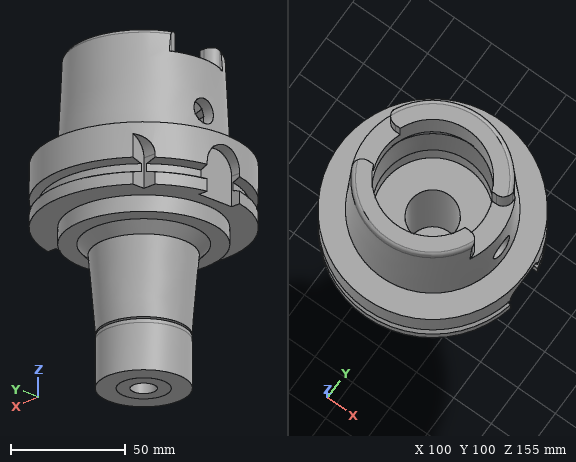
import cadquery as cq

TOTAL_LENGTH = 155.0
SHANK_HEIGHT = 50.0
BOTTOM_Z = SHANK_HEIGHT - TOTAL_LENGTH

SHANK_BASE_R = 76.1 / 2
SHANK_TAPER = 0.05
SHANK_TOP_R = SHANK_BASE_R - SHANK_TAPER * SHANK_HEIGHT
RIM_FILLET = 2.0
MOUTH_R = 53.0 / 2
MOUTH_DEPTH = 19.8
CAVITY_R = 63.0 / 2
CAVITY_DEPTH = 40.5
CAVITY_CONE_HEIGHT = 8.7
FLOOR_DEPTH = 61.7
CROSS_HOLE_R = 12.0 / 2
CROSS_HOLE_Z = 14.9

DRIVE_SLOT_WIDTH = 20.0
SHALLOW_SLOT_DEPTH = 10.0
DEEP_SLOT_DEPTH = 15.0
SLOT_CORNER_R = 5.0
SLOT_SHOULDER_X = 32.1

FLANGE_R = 100.0 / 2
FLANGE_THICKNESS = 29.3
GROOVE_R = 92.2 / 2
GROOVE_CENTER_Z = -20.0
GROOVE_FLOOR_WIDTH = 3.7
GROOVE_MOUTH_WIDTH = 6.8

KEYWAY_WIDTH = DRIVE_SLOT_WIDTH
KEYWAY_TOP_Z = -5.0
KEYWAY_FLOOR_X = 44.0
NOTCH_FACE = 31.8

COLLAR_R = 75.0 / 2
COLLAR_LENGTH = 7.8
SHOULDER_TOP_R = 58.3 / 2
SHOULDER_HEIGHT = 5.1
NOSE_TOP_R = 48.5 / 2
NOSE_END_R = 42.2 / 2
NOSE_END_Z = -79.8

NUT_GAP = 1.0
NUT_R = 42.5 / 2
NUT_BAND_R = 42.2 / 2
NUT_BAND_HEIGHT = 1.9
NUT_TOP_Z = NOSE_END_Z - NUT_GAP
NECK_R = 33.5 / 2
NECK_ENGAGEMENT = 12.4
NECK_END_Z = NUT_TOP_Z - NECK_ENGAGEMENT
COLLET_R = 24.0 / 2
COLLET_BORE_R = 12.0 / 2
COLLET_LENGTH = 34.1


def revolve_profile(points):
    """Solid of revolution about Z from (radius, z) points."""
    return cq.Workplane("XZ").polyline(points).close().revolve(360, (0, 0, 0), (0, 1, 0))


def cylinder(radius, bottom_z, top_z):
    """Upright cylinder on the Z axis."""
    return cq.Workplane("XY").workplane(offset=bottom_z).circle(radius).extrude(top_z - bottom_z)


def make_shank():
    """Solid taper with a rounded top rim."""
    shank = revolve_profile([(0, 0), (SHANK_BASE_R, 0), (SHANK_TOP_R, SHANK_HEIGHT), (0, SHANK_HEIGHT)])
    return shank.faces(">Z").edges().fillet(RIM_FILLET)


def make_flange_and_nose():
    """Grooved flange, collar, shoulder, tapered nose and the neck that enters the nut."""
    flange_bottom = -FLANGE_THICKNESS
    collar_bottom = flange_bottom - COLLAR_LENGTH
    nose_top = collar_bottom - SHOULDER_HEIGHT
    return revolve_profile([
        (0, 0),
        (FLANGE_R, 0),
        (FLANGE_R, GROOVE_CENTER_Z + GROOVE_MOUTH_WIDTH / 2),
        (GROOVE_R, GROOVE_CENTER_Z + GROOVE_FLOOR_WIDTH / 2),
        (GROOVE_R, GROOVE_CENTER_Z - GROOVE_FLOOR_WIDTH / 2),
        (FLANGE_R, GROOVE_CENTER_Z - GROOVE_MOUTH_WIDTH / 2),
        (FLANGE_R, flange_bottom),
        (COLLAR_R, flange_bottom),
        (COLLAR_R, collar_bottom),
        (SHOULDER_TOP_R, collar_bottom),
        (NOSE_TOP_R, nose_top),
        (NOSE_END_R, NOSE_END_Z),
        (NECK_R, NOSE_END_Z),
        (NECK_R, NECK_END_Z),
        (0, NECK_END_Z),
    ])


def make_shank_bore():
    """Cutter for the stepped bore: mouth, wider clamping cavity, cone, lower bore and collet hole."""
    mouth_bottom = SHANK_HEIGHT - MOUTH_DEPTH
    cavity_bottom = SHANK_HEIGHT - CAVITY_DEPTH
    floor_z = SHANK_HEIGHT - FLOOR_DEPTH
    return revolve_profile([
        (0, SHANK_HEIGHT),
        (MOUTH_R, SHANK_HEIGHT),
        (MOUTH_R, mouth_bottom),
        (CAVITY_R, mouth_bottom),
        (CAVITY_R, cavity_bottom),
        (MOUTH_R, cavity_bottom - CAVITY_CONE_HEIGHT),
        (MOUTH_R, floor_z),
        (COLLET_R, floor_z),
        (COLLET_R, NECK_END_Z),
        (0, NECK_END_Z),
    ])


def make_drive_slot(side, depth):
    """Cutter for one rim slot: parallel walls that turn through convex quarter arcs into a flat."""
    half = DRIVE_SLOT_WIDTH / 2
    slot = (
        cq.Workplane("XY").workplane(offset=SHANK_HEIGHT - depth)
        .moveTo(0, half)
        .lineTo(side * (SLOT_SHOULDER_X - SLOT_CORNER_R), half)
        .radiusArc((side * SLOT_SHOULDER_X, half + SLOT_CORNER_R), -side * SLOT_CORNER_R)
        .lineTo(side * SLOT_SHOULDER_X, FLANGE_R)
        .lineTo(side * FLANGE_R, FLANGE_R)
        .lineTo(side * FLANGE_R, 0)
        .lineTo(0, 0)
        .close()
        .extrude(depth)
    )
    return slot.union(slot.mirror("XZ"))


def make_keyway(floor_x, center_y, side):
    """Round-topped cutter, open at the flange bottom, reaching outward from floor_x on one X side."""
    radius = KEYWAY_WIDTH / 2
    arc_z = KEYWAY_TOP_Z - radius
    cutter = (
        cq.Workplane("YZ").workplane(offset=floor_x)
        .moveTo(center_y - radius, -FLANGE_THICKNESS)
        .lineTo(center_y - radius, arc_z)
        .threePointArc((center_y, KEYWAY_TOP_Z), (center_y + radius, arc_z))
        .lineTo(center_y + radius, -FLANGE_THICKNESS)
        .close()
        .extrude(FLANGE_R - floor_x)
    )
    return cutter if side > 0 else cutter.mirror("YZ")


def make_holder():
    """Hollow shank, flange and nose in one piece, bored through for the collet."""
    holder = make_shank().union(make_flange_and_nose())
    holder = holder.cut(make_shank_bore())
    holder = holder.cut(make_drive_slot(-1, SHALLOW_SLOT_DEPTH))
    holder = holder.cut(make_drive_slot(1, DEEP_SLOT_DEPTH))
    cross_hole = (
        cq.Workplane("YZ").center(0, CROSS_HOLE_Z).circle(CROSS_HOLE_R).extrude(SHANK_BASE_R, both=True)
    )
    holder = holder.cut(cross_hole)
    for side in (-1, 1):
        holder = holder.cut(make_keyway(KEYWAY_FLOOR_X, 0, side))
    return holder.cut(make_keyway(NOTCH_FACE, NOTCH_FACE + KEYWAY_WIDTH / 2, -1))


def make_nut():
    """Clamping nut with a slim tapered band on top, recessed for the neck and open for the collet."""
    return revolve_profile([
        (COLLET_R, BOTTOM_Z),
        (NUT_R, BOTTOM_Z),
        (NUT_R, NUT_TOP_Z - NUT_BAND_HEIGHT),
        (NUT_BAND_R, NUT_TOP_Z),
        (NECK_R, NUT_TOP_Z),
        (NECK_R, NECK_END_Z),
        (COLLET_R, NECK_END_Z),
    ])


def make_collet():
    """Plain sleeve flush with the nut's lower end."""
    collet_top = BOTTOM_Z + COLLET_LENGTH
    return cylinder(COLLET_R, BOTTOM_Z, collet_top).cut(cylinder(COLLET_BORE_R, BOTTOM_Z, collet_top))


holder = make_holder()
nut = make_nut()
collet = make_collet()
result = cq.Compound.makeCompound([holder.val(), nut.val(), collet.val()])